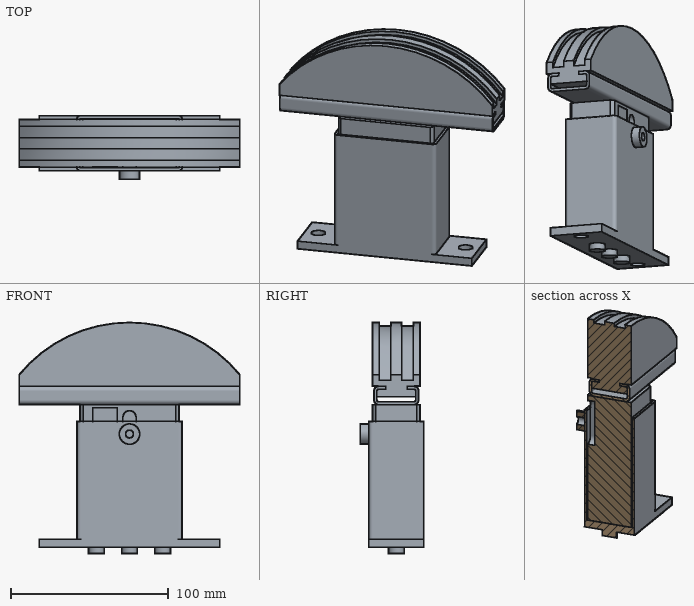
import cadquery as cq
import math

foot_height = 4.0
base_thickness = 5.3
housing_height = 74.7
slider_exposed = 10.5
channel_height = 11.7
total_height = 146.7

base_bottom = foot_height
base_top = base_bottom + base_thickness
housing_top = base_top + housing_height
slider_top = housing_top + slider_exposed
channel_top = slider_top + channel_height

base_length = 114.7
housing_length = 66.9
housing_depth = 35.0
housing_wall = 1.9
housing_corner_radius = 2.5
bore_corner_radius = housing_corner_radius - housing_wall
foot_diameter = 10.1
foot_pitch = 21.0
mounting_hole_diameter = 9.0
mounting_hole_edge_distance = 9.0
mounting_hole_x = base_length / 2 - mounting_hole_edge_distance

slider_length = housing_length - 2 * housing_wall
slider_depth = 30.4
slider_chamfer = 2.0
slot_width = 8.4
slot_top = 90.7
slot_depth = 4.8
panel_width = 15.3
panel_left = -23.2
panel_top = 92.4
panel_recess = 0.1

collar_diameter = 12.9
collar_length = 5.5
collar_hole_diameter = 5.0
collar_z = 75.8

rail_length = 140.0
channel_width = 28.3
channel_wall = 1.9
channel_outer_radius = 3.0
channel_inner_radius = channel_outer_radius - channel_wall
channel_mouth = 13.6

shoe_width = slider_depth
shoe_end_height = 7.3
shoe_land_edge = 4.4
shoe_land_middle = 6.9
groove_width = (shoe_width - shoe_land_middle) / 2 - shoe_land_edge
groove_depth = 2.2
tongue_thickness = 4.8
shoe_end_top = channel_top + shoe_end_height
arc_rise = total_height - shoe_end_top
arc_radius = ((rail_length / 2) ** 2 + arc_rise**2) / (2 * arc_rise)
arc_center_z = total_height - arc_radius


def box_on(bottom, length, depth, height):
    """Block centred on the Z axis, standing on the given height."""
    return cq.Workplane("XY", origin=(0, 0, bottom)).box(
        length, depth, height, centered=(True, True, False)
    )


def make_housing():
    tube = box_on(base_top, housing_length, housing_depth, housing_height)
    tube = tube.edges("|Z").fillet(housing_corner_radius)
    bore = box_on(
        base_top,
        housing_length - 2 * housing_wall,
        housing_depth - 2 * housing_wall,
        housing_height,
    )
    bore = bore.edges("|Z").fillet(bore_corner_radius)
    base = box_on(base_bottom, base_length, housing_depth, base_thickness)
    mounting_holes = (
        cq.Workplane("XY", origin=(0, 0, base_bottom))
        .pushPoints([(-mounting_hole_x, 0), (mounting_hole_x, 0)])
        .circle(mounting_hole_diameter / 2)
        .extrude(base_thickness)
    )
    feet = (
        cq.Workplane("XY")
        .pushPoints([(step * foot_pitch, 0) for step in (-1, 0, 1)])
        .circle(foot_diameter / 2)
        .extrude(foot_height)
    )
    return base.cut(mounting_holes).union(tube.cut(bore)).union(feet)


def make_slider():
    block = box_on(base_top, slider_length, slider_depth, slider_top - base_top)
    block = block.edges("|Z").chamfer(slider_chamfer)

    slot_length = 2 * (slot_top - collar_z)
    slot = (
        cq.Workplane("XZ", origin=(0, -slider_depth / 2, collar_z))
        .slot2D(slot_length, slot_width, 90)
        .extrude(-slot_depth)
    )

    panel = cq.Workplane("XY").box(
        panel_width, panel_recess, panel_width, centered=(False, False, False)
    )
    panel = panel.translate((panel_left, -slider_depth / 2, panel_top - panel_width))
    return block.cut(slot).cut(panel)


def make_collar():
    return (
        cq.Workplane("XZ", origin=(0, -housing_depth / 2, collar_z))
        .circle(collar_diameter / 2)
        .circle(collar_hole_diameter / 2)
        .extrude(collar_length)
    )


def make_channel_cavity():
    """Space inside the C-section, below the lips."""
    cavity = box_on(
        slider_top + channel_wall,
        rail_length,
        channel_width - 2 * channel_wall,
        channel_height - 2 * channel_wall,
    )
    return cavity.edges("|X").fillet(channel_inner_radius)


def make_channel():
    outside = box_on(slider_top, rail_length, channel_width, channel_height)
    outside = outside.edges("|X").fillet(channel_outer_radius)
    mouth = box_on(channel_top - channel_wall, rail_length, channel_mouth, channel_wall)
    return outside.cut(make_channel_cavity()).cut(mouth)


def arc_profile(radius, width):
    """Flat-bottomed segment under an arc about the common centre, extruded across Y."""
    half_length = rail_length / 2
    end_z = arc_center_z + math.sqrt(radius**2 - half_length**2)
    return (
        cq.Workplane("XZ")
        .moveTo(-half_length, channel_top)
        .lineTo(-half_length, end_z)
        .threePointArc((0, arc_center_z + radius), (half_length, end_z))
        .lineTo(half_length, channel_top)
        .close()
        .extrude(width / 2, both=True)
    )


def make_shoe():
    shoe = arc_profile(arc_radius, shoe_width)
    groove = arc_profile(arc_radius, groove_width).cut(
        arc_profile(arc_radius - groove_depth, groove_width)
    )
    groove_offset = (shoe_land_middle + groove_width) / 2
    for side in (-1, 1):
        shoe = shoe.cut(groove.translate((0, side * groove_offset, 0)))

    neck = box_on(channel_top - channel_wall, rail_length, channel_mouth, channel_wall)
    tongue_bottom = channel_top - channel_wall - tongue_thickness
    tongue = box_on(tongue_bottom, rail_length, channel_width, tongue_thickness)
    tongue = tongue.intersect(make_channel_cavity())
    return shoe.union(neck).union(tongue)


housing = make_housing()
slider = make_slider()
collar = make_collar()
channel = make_channel()
shoe = make_shoe()

result = cq.Compound.makeCompound(
    [housing.val(), slider.val(), collar.val(), channel.val(), shoe.val()]
)